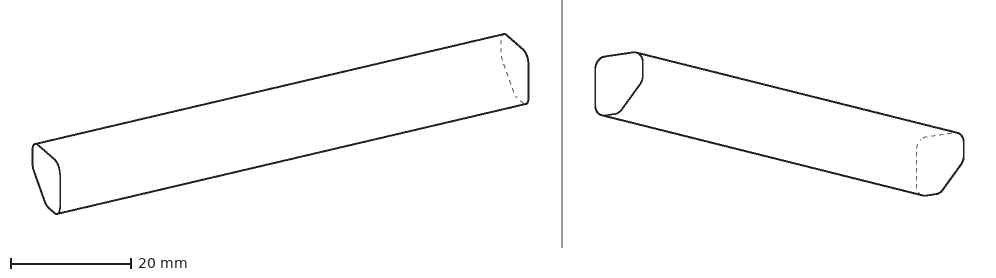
import cadquery as cq

length = 88.0
width = 10.0
bevel = 5.0
corner_radius = 2.0
bevel_radius = 2.0

half_width = width / 2
half_length = length / 2

bar = cq.Workplane("XY").box(width, length, width)

bar = bar.edges("|Y and <X and <Z").chamfer(bevel)


def edges_near(x, z):
    """Select the long edge that passes through (x, z)."""
    return cq.selectors.NearestToPointSelector((x, 0, z))


for x_side, z_side in [(-1, 1), (1, 1), (1, -1)]:
    corner = edges_near(x_side * half_width, z_side * half_width)
    bar = bar.edges("|Y").edges(corner).fillet(corner_radius)

bevel_end = bevel - half_width
for x, z in [(-half_width, bevel_end), (bevel_end, -half_width)]:
    bar = bar.edges("|Y").edges(edges_near(x, z)).fillet(bevel_radius)

result = bar